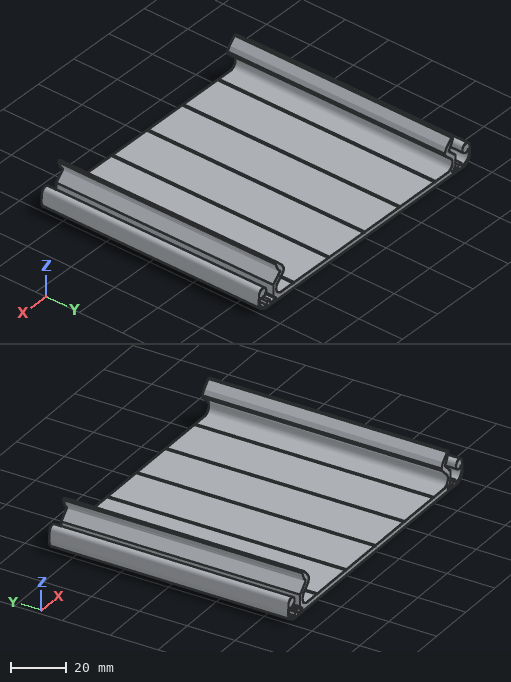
import cadquery as cq
import math

width = 120.0
length = 100.0
height = 16.5
half_width = width / 2

plate_thickness = 2.4
lip_thickness = 1.0

arm_thickness = 0.7
bend_radius = 4.3
inner_bend_radius = 3.5
arm_lean = 0.4
bead_radius = 2.0
bead_height = 7.5

rib_center = 54.2
rib_top_width = 1.4
rib_base_width = 2.2

wall_outer = 51.6
wall_bottom = 2.9
wall_top = 7.8
wall_thickness = 1.7
slot_end = 50.2
slot_end_top = 1.4
pocket_floor_x = 47.5
pocket_middle_z = 5.2
pocket_top = (48.5, 7.9)
nose_bottom_x = 46.0
nose_crest = (45.5, 11.6)
nose_top = (46.5, 13.7)
elbow_x = 48.0
elbow_rise = 0.6
elbow_depth = 0.1
lead_in_base = (49.0, 13.1)
tip_outer = 50.3
tip_bevel_start = 16.1

groove_count = 5
groove_pitch = 20.0
groove_width = 0.7
groove_depth = 0.2


def on_circle(center, radius, degrees):
    """Point on a circle in the profile plane."""
    angle = math.radians(degrees)
    return (center[0] + radius * math.cos(angle), center[1] + radius * math.sin(angle))


def extrude(sketch):
    """Extrude an XZ outline over the full length, centred on Y = 0."""
    return sketch.extrude(length).translate((0, length / 2, 0))


def plate_and_clip():
    """Half plate with its clip, on the +X side."""
    wall_inner = wall_outer - wall_thickness
    nose_bottom_z = pocket_top[1] + pocket_top[0] - nose_bottom_x
    tip_inner = nose_top[0] + height - nose_top[1]
    elbow_z = wall_top + wall_outer - elbow_x
    outline = (
        cq.Workplane("XZ")
        .moveTo(0, 0)
        .lineTo(slot_end, 0)
        .lineTo(slot_end, slot_end_top)
        .lineTo(wall_outer, wall_bottom)
        .lineTo(wall_outer, wall_top)
        .lineTo(elbow_x, elbow_z)
        .threePointArc(
            (elbow_x - elbow_depth, elbow_z + elbow_rise / 2),
            (elbow_x, elbow_z + elbow_rise),
        )
        .lineTo(*lead_in_base)
        .lineTo(tip_outer, tip_bevel_start)
        .lineTo(tip_outer, height)
        .lineTo(tip_inner, height)
        .lineTo(*nose_top)
        .lineTo(*nose_crest)
        .lineTo(nose_bottom_x, nose_bottom_z)
        .lineTo(*pocket_top)
        .threePointArc((wall_inner, pocket_middle_z), (pocket_floor_x, plate_thickness))
        .lineTo(0, plate_thickness)
        .close()
    )
    return extrude(outline)


def curled_lip():
    """Lip, rounded bend and arm ending in the bead, on the +X side."""
    bend_center = (half_width - bend_radius, bend_radius)
    arm_inner = half_width - arm_thickness
    inner_center = (arm_inner - inner_bend_radius, lip_thickness + inner_bend_radius)
    arm_top = half_width - arm_lean
    bead_x = arm_top - bead_radius
    outline = (
        cq.Workplane("XZ")
        .moveTo(wall_outer - wall_thickness, 0)
        .lineTo(bend_center[0], 0)
        .threePointArc(on_circle(bend_center, bend_radius, -45), (half_width, bend_radius))
        .lineTo(arm_top, bead_height)
        .lineTo(arm_top - arm_thickness, bead_height)
        .lineTo(arm_inner, inner_center[1])
        .threePointArc(
            on_circle(inner_center, inner_bend_radius, -45),
            (inner_center[0], lip_thickness),
        )
        .lineTo(wall_outer - wall_thickness, lip_thickness)
        .close()
    )
    bead = cq.Workplane("XZ").center(bead_x, bead_height).circle(bead_radius)
    return extrude(outline).union(extrude(bead))


def lip_rib():
    """Tapered rib on the +X lip, as high as the plate."""
    outline = cq.Workplane("XZ").polyline([
        (rib_center - rib_base_width / 2, lip_thickness),
        (rib_center - rib_top_width / 2, plate_thickness),
        (rib_center + rib_top_width / 2, plate_thickness),
        (rib_center + rib_base_width / 2, lip_thickness),
    ]).close()
    return extrude(outline)


def plate_groove(x):
    """Cutter for one V groove in the top of the plate."""
    outline = cq.Workplane("XZ").polyline([
        (x - groove_width / 2, plate_thickness),
        (x, plate_thickness - groove_depth),
        (x + groove_width / 2, plate_thickness),
    ]).close()
    return extrude(outline)


half = plate_and_clip().union(curled_lip()).union(lip_rib())
result = half.union(half.mirror("YZ")).clean()
for index in range(groove_count):
    result = result.cut(plate_groove((index - (groove_count - 1) / 2) * groove_pitch))